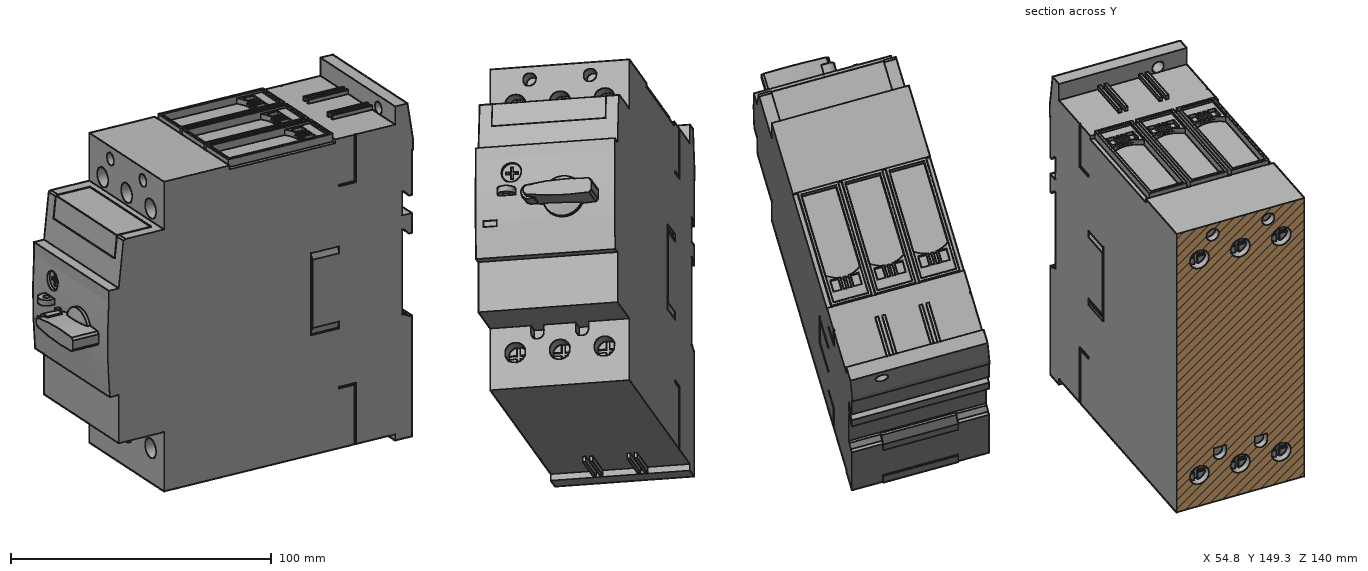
import cadquery as cq


WIDTH = 54.8
HEIGHT = 140.0
TOTAL_DEPTH = 149.3
POLE_PITCH = 17.55
POLES = (-POLE_PITCH, 0, POLE_PITCH)
POLE_GAPS = (-POLE_PITCH / 2, POLE_PITCH / 2)

BACK = 0.5
FLANGE_FRONT = 8.1
BASE_FRONT = 26.0
BODY_BOTTOM = 2.6
BODY_TOP = 132.4
FLANGE_TOP_BACK = 2.5
TOP_PAD_LOW, TOP_PAD_HIGH = 120.0, 124.5
RAIL_FLOOR = 4.9
UNDERCUT_DEPTH = 4.0
RAIL_UNDERCUT = 2.3
RAIL_LIP = 1.3
UPPER_CHANNEL_LOW, UPPER_CHANNEL_HIGH = 93.6, 101.2
LOWER_CHANNEL_LOW, LOWER_CHANNEL_HIGH = 50.7, 85.3
RIB_WIDTH = 1.2
RIB_SPACING = 2.7
RIB_TOP, RIB_BOTTOM = 134.1, 0.5
FLANGE_HOLE_X, FLANGE_HOLE_Z, FLANGE_HOLE_DIAMETER = 15.1, 134.8, 5.0
SLIDE_WIDTH = 30.0
SLIDE_LOW, SLIDE_HIGH, SLIDE_TIP_Z = 43.7, 51.4, 54.7
SLIDE_TIP_DEPTH, SLIDE_TIP_DROP = 2.8, 1.0
FOOT_LOW, FOOT_HIGH = 0.4, 9.2

HOUSING_FRONT = 106.2
FACE = 112.2
NOSE_BOTTOM, NOSE_TOP = 27.5, 112.4
NOSE_TOP_DEPTH = 130.5
NOSE_CHAMFER_DEPTH, NOSE_CHAMFER_HEIGHT = 1.0, 0.5
PANEL_BOTTOM, PANEL_STRIP, PANEL_TOP = 47.7, 87.4, 92.4
PANEL_TOP_FOOT = 132.6
LOWER_NOSE_DEPTH = 132.6
PANEL_DEPTH = 137.1
PANEL_CROWN_DEPTH, PANEL_CROWN_Z = 137.6, 69.5
PANEL_LOW_DEPTH = 136.6

LABEL_WIDTH = 44.8
LABEL_BACK = 114.9
LABEL_BOTTOM = 102.8
LABEL_RECESS = 0.3

JOINT_DEPTH = 0.3
JOINT_WIDTH = 0.6
TAB_FRONT = 33.3
TAB_BOTTOM, TAB_TOP = 27.9, 112.6
TONGUE_FRONT = 45.6
TONGUE_BOTTOM, TONGUE_TOP = 52.8, 87.2
TONGUE_SLOPE = 2.9
TONGUE_SLOPE_DEPTH = 1.0

BASE_STEPS = [
    (BASE_FRONT, BODY_BOTTOM),
    (BASE_FRONT, TAB_BOTTOM),
    (TAB_FRONT, TAB_BOTTOM),
    (TAB_FRONT, TONGUE_BOTTOM),
    (TONGUE_FRONT, TONGUE_BOTTOM),
    (TONGUE_FRONT, TONGUE_TOP),
    (TAB_FRONT, TONGUE_TOP),
    (TAB_FRONT, TAB_TOP),
    (BASE_FRONT, TAB_TOP),
    (BASE_FRONT, BODY_TOP),
]

COVER_BACK, COVER_FRONT, COVER_TOP = 35.1, 82.2, 134.1
CHANNEL_FLOOR, CHANNEL_FRONT = 130.8, 82.7
COVER_WIDTH = 16.1
COVER_WALL = 1.1
COVER_POCKET = 3.3
SHELF_DROP = 1.0
SHELF_SIDE_FRONT = 47.6
SHELF_CREST_FRONT = 45.2
WINDOW_WIDTH, WINDOW_BACK, WINDOW_FRONT, WINDOW_POCKET = 11.3, 40.5, 45.3, 1.5
FIN_OFFSETS = (-2.0, 0, 2.0)
FIN_WIDTH = 0.9

SCREW_DIAMETER, SCREW_RECESS = 8.0, 6.0
SCREW_SLOT_WIDTH, SCREW_SLOT_DEPTH = 1.4, 1.0
UPPER_SCREW_Z, LOWER_SCREW_Z = 117.5, 17.1
ACCESS_DIAMETER, ACCESS_DEPTH = 5.1, 6.0
UPPER_ACCESS_X, UPPER_ACCESS_Z = 11.9, 127.2
LOWER_ACCESS_Z = 24.6

DIAL_X, DIAL_Z, DIAL_DIAMETER = -13.3, 81.5, 7.8
DIAL_RECESS = 0.8
DIAL_SLOT_LENGTH, DIAL_SLOT_WIDTH, DIAL_SLOT_DEPTH = 4.8, 0.9, 0.6
MARK_X, MARK_Z, MARK_WIDTH, MARK_HEIGHT, MARK_RECESS = -21.7, 61.4, 5.2, 2.4, 0.3

EYE_X, EYE_Z, EYE_THICKNESS = -14.9, 73.4, 2.4
EYE_RADIUS, EYE_HOLE_DIAMETER, EYE_CENTRE_DEPTH = 3.4, 2.6, 139.1
KNOB_X, KNOB_Z = 7.3, 70.0
KNOB_RADIUS, KNOB_RIM_DEPTH = 8.0, 138.9
KNOB_DOME_RADIUS, KNOB_DOME_DEPTH = 4.7, 139.7
KNOB_CROWN_DEPTH = 140.1
GRIP_LEFT, GRIP_RIGHT = -6.0, 20.9
GRIP_HALF_LEFT, GRIP_HALF_MIDDLE, GRIP_HALF_RIGHT = 1.8, 3.1, 2.8
GRIP_CORNER = 0.9
LOCK_LEFT, LOCK_RIGHT, LOCK_RADIUS = -7.4, -2.2, 2.8
LOCK_BACK, LOCK_FRONT = 139.8, 146.6
STOP_LEFT, STOP_RIGHT, STOP_BOTTOM, STOP_TOP = -8.5, -6.5, 70.5, 72.3
STOP_FRONT = 139.3
ROOT = 136.0


def block(x_min, x_max, depth_back, depth_front, z_min, z_max):
    size = (x_max - x_min, depth_front - depth_back, z_max - z_min)
    return cq.Workplane("XY").box(*size, centered=False).translate((x_min, -depth_front, z_min))


def centred_block(x, width, depth_back, depth_front, z_min, z_max):
    return block(x - width / 2, x + width / 2, depth_back, depth_front, z_min, z_max)


def side_profile(points, width):
    """Extrude an outline of (depth, height) points symmetrically across X."""
    outline = [(-depth, z) for depth, z in points]
    return cq.Workplane("YZ").polyline(outline).close().extrude(width / 2, both=True)


def front_plane(depth):
    """XZ workplane at a depth; extrusions run toward the front."""
    return cq.Workplane("XZ", origin=(0, -depth, 0))


def disc(x, z, diameter, depth_back, depth_front):
    return front_plane(depth_back).center(x, z).circle(diameter / 2).extrude(depth_front - depth_back)


def cross(x, z, length, width, depth_back, depth_front):
    bar = front_plane(depth_back).center(x, z).rect(length, width).extrude(depth_front - depth_back)
    upright = front_plane(depth_back).center(x, z).rect(width, length).extrude(depth_front - depth_back)
    outline = disc(x, z, length, depth_back, depth_front)
    return bar.union(upright).intersect(outline)


def make_base():
    upper_lip = UPPER_CHANNEL_HIGH + RAIL_UNDERCUT
    lower_lip = LOWER_CHANNEL_HIGH + RAIL_UNDERCUT
    base = side_profile([
        (FLANGE_TOP_BACK, HEIGHT),
        (0, TOP_PAD_HIGH),
        (0, TOP_PAD_LOW),
        (BACK, TOP_PAD_LOW),
        (BACK, UPPER_CHANNEL_HIGH),
        (BACK + RAIL_LIP, UPPER_CHANNEL_HIGH),
        (UNDERCUT_DEPTH, upper_lip),
        (RAIL_FLOOR, upper_lip),
        (RAIL_FLOOR, UPPER_CHANNEL_LOW),
        (BACK, UPPER_CHANNEL_LOW),
        (BACK, LOWER_CHANNEL_HIGH),
        (BACK + RAIL_LIP, LOWER_CHANNEL_HIGH),
        (UNDERCUT_DEPTH, lower_lip),
        (RAIL_FLOOR, lower_lip),
        (RAIL_FLOOR, LOWER_CHANNEL_LOW + RAIL_LIP),
        (UNDERCUT_DEPTH, LOWER_CHANNEL_LOW + RAIL_LIP),
        (BACK + RAIL_LIP, LOWER_CHANNEL_LOW),
        (BACK, LOWER_CHANNEL_LOW),
        (BACK, 0),
        (FLANGE_FRONT, 0),
        (FLANGE_FRONT, BODY_BOTTOM),
        *BASE_STEPS,
        (FLANGE_FRONT, BODY_TOP),
        (FLANGE_FRONT, HEIGHT),
    ], WIDTH)
    hole = disc(FLANGE_HOLE_X, FLANGE_HOLE_Z, FLANGE_HOLE_DIAMETER, 0, FLANGE_FRONT)
    return base.cut(hole)


def make_base_ribs():
    ribs = cq.Workplane("XY")
    for gap in POLE_GAPS:
        for side in (-1, 1):
            x = gap + side * RIB_SPACING / 2
            ribs = ribs.union(centred_block(x, RIB_WIDTH, FLANGE_FRONT, BASE_FRONT, RIB_BOTTOM, BODY_BOTTOM))
            ribs = ribs.union(centred_block(x, RIB_WIDTH, FLANGE_FRONT, BASE_FRONT, BODY_TOP, RIB_TOP))
    return ribs


def make_rail_latch():
    latch = side_profile([
        (0, SLIDE_LOW),
        (0, SLIDE_HIGH),
        (SLIDE_TIP_DEPTH, SLIDE_TIP_Z),
        (UNDERCUT_DEPTH, SLIDE_TIP_Z - SLIDE_TIP_DROP),
        (UNDERCUT_DEPTH, SLIDE_LOW),
    ], SLIDE_WIDTH)
    foot = centred_block(0, SLIDE_WIDTH, 0, BACK, FOOT_LOW, FOOT_HIGH)
    return latch.union(foot)


def make_housing():
    return side_profile([(HOUSING_FRONT, BODY_BOTTOM), *BASE_STEPS, (HOUSING_FRONT, BODY_TOP)], WIDTH)


def make_front():
    profile = (
        cq.Workplane("YZ")
        .moveTo(-HOUSING_FRONT, BODY_BOTTOM)
        .lineTo(-FACE, BODY_BOTTOM)
        .lineTo(-FACE, NOSE_BOTTOM)
        .lineTo(-LOWER_NOSE_DEPTH, NOSE_BOTTOM)
        .lineTo(-LOWER_NOSE_DEPTH, PANEL_BOTTOM)
        .lineTo(-PANEL_LOW_DEPTH, PANEL_BOTTOM)
        .threePointArc((-PANEL_CROWN_DEPTH, PANEL_CROWN_Z), (-PANEL_DEPTH, PANEL_STRIP))
        .lineTo(-PANEL_DEPTH, PANEL_TOP)
        .lineTo(-PANEL_TOP_FOOT, PANEL_TOP)
        .lineTo(-NOSE_TOP_DEPTH, NOSE_TOP - NOSE_CHAMFER_HEIGHT)
        .lineTo(-NOSE_TOP_DEPTH + NOSE_CHAMFER_DEPTH, NOSE_TOP)
        .lineTo(-FACE, NOSE_TOP)
        .lineTo(-FACE, BODY_TOP)
        .lineTo(-HOUSING_FRONT, BODY_TOP)
        .close()
    )
    return profile.extrude(WIDTH / 2, both=True)


def make_label_recess():
    """Thin L-shaped recess over the top and the sloping face of the nose."""
    slope = (PANEL_TOP_FOOT - NOSE_TOP_DEPTH) / (NOSE_TOP - PANEL_TOP)
    floor_top = NOSE_TOP - LABEL_RECESS
    floor_depth = NOSE_TOP_DEPTH - LABEL_RECESS
    bottom_depth = floor_depth + slope * (NOSE_TOP - LABEL_BOTTOM)
    return side_profile([
        (LABEL_BACK, floor_top),
        (floor_depth, floor_top),
        (bottom_depth, LABEL_BOTTOM),
        (PANEL_DEPTH, LABEL_BOTTOM),
        (PANEL_DEPTH, BODY_TOP),
        (LABEL_BACK, BODY_TOP),
    ], LABEL_WIDTH)


def make_left_joints():
    """Open grooves and sloping tongue ends along the base joint on the -X side."""
    outer, inner = -WIDTH / 2, -WIDTH / 2 + JOINT_DEPTH
    half = JOINT_WIDTH / 2
    joints = block(outer, inner, TONGUE_FRONT - half, TONGUE_FRONT + half, TONGUE_BOTTOM, TONGUE_TOP)
    for z_outer, z_tab in ((BODY_TOP, TAB_TOP), (BODY_BOTTOM, TAB_BOTTOM)):
        low, high = sorted((z_outer, z_tab))
        joints = joints.union(block(outer, inner, BASE_FRONT - half, BASE_FRONT + half, low, high))
        joints = joints.union(
            block(outer, inner, BASE_FRONT - half, TAB_FRONT, z_tab - half, z_tab + half)
        )
    for edge, slope in ((TONGUE_TOP, -TONGUE_SLOPE), (TONGUE_BOTTOM, TONGUE_SLOPE)):
        wedge = (
            front_plane(TAB_FRONT)
            .polyline([(outer, edge), (outer + TONGUE_SLOPE_DEPTH, edge), (outer, edge + slope)])
            .close()
            .extrude(TONGUE_FRONT - TAB_FRONT)
        )
        joints = joints.union(wedge)
    return joints


def make_cover(x):
    return centred_block(x, COVER_WIDTH, COVER_BACK, COVER_FRONT, CHANNEL_FLOOR, COVER_TOP)


def make_cover_pocket(x):
    """Deep pocket with an arched rear end, and a shallow shelf with a finned window behind it."""
    half = COVER_WIDTH / 2 - COVER_WALL
    shelf_z = COVER_TOP - SHELF_DROP
    shelf = centred_block(
        x, 2 * half, COVER_BACK + COVER_WALL, COVER_FRONT - COVER_WALL, shelf_z, COVER_TOP
    )
    deep = (
        cq.Workplane("XY", origin=(x, 0, COVER_TOP - COVER_POCKET))
        .moveTo(-half, -SHELF_SIDE_FRONT)
        .threePointArc((0, -SHELF_CREST_FRONT), (half, -SHELF_SIDE_FRONT))
        .lineTo(half, -COVER_FRONT + COVER_WALL)
        .lineTo(-half, -COVER_FRONT + COVER_WALL)
        .close()
        .extrude(COVER_POCKET)
    )
    window = centred_block(x, WINDOW_WIDTH, WINDOW_BACK, WINDOW_FRONT, shelf_z - WINDOW_POCKET, shelf_z)
    for offset in FIN_OFFSETS:
        fin = centred_block(
            x + offset, FIN_WIDTH, WINDOW_BACK, WINDOW_FRONT, shelf_z - WINDOW_POCKET, shelf_z
        )
        window = window.cut(fin)
    return shelf.union(deep).union(window)


def make_screw_hole(x, z):
    bottom = FACE - SCREW_RECESS
    hole = disc(x, z, SCREW_DIAMETER, bottom, FACE)
    slots = cross(x, z, SCREW_DIAMETER, SCREW_SLOT_WIDTH, bottom - SCREW_SLOT_DEPTH, bottom)
    return hole.union(slots)


def make_lower_access(x):
    """U-shaped opening that runs up to the underside of the nose."""
    hole = disc(x, LOWER_ACCESS_Z, ACCESS_DIAMETER, FACE - ACCESS_DEPTH, FACE)
    throat = centred_block(x, ACCESS_DIAMETER, FACE - ACCESS_DEPTH, FACE, LOWER_ACCESS_Z, NOSE_BOTTOM)
    return hole.union(throat)


def make_setting_dial():
    bottom = PANEL_DEPTH - DIAL_RECESS
    well = disc(DIAL_X, DIAL_Z, DIAL_DIAMETER, bottom, TOTAL_DEPTH)
    slots = cross(DIAL_X, DIAL_Z, DIAL_SLOT_LENGTH, DIAL_SLOT_WIDTH, bottom - DIAL_SLOT_DEPTH, bottom)
    return well.union(slots)


def make_mark_recess():
    recess = front_plane(PANEL_DEPTH - MARK_RECESS).center(MARK_X, MARK_Z)
    return recess.rect(MARK_WIDTH, MARK_HEIGHT).extrude(TOTAL_DEPTH - PANEL_DEPTH)


def make_padlock_eye():
    z_min = EYE_Z - EYE_THICKNESS / 2
    plane = cq.Workplane("XY", origin=(EYE_X, -EYE_CENTRE_DEPTH, z_min))
    eye = plane.circle(EYE_RADIUS).extrude(EYE_THICKNESS)
    stem = centred_block(EYE_X, 2 * EYE_RADIUS, ROOT, EYE_CENTRE_DEPTH, z_min, z_min + EYE_THICKNESS)
    hole = plane.circle(EYE_HOLE_DIAMETER / 2).extrude(EYE_THICKNESS)
    return eye.union(stem).cut(hole)


def make_knob():
    """Round knob base with a shallow domed face, turned about its own Y axis."""
    return (
        cq.Workplane("XY")
        .moveTo(0, -ROOT)
        .lineTo(-KNOB_RADIUS, -ROOT)
        .lineTo(-KNOB_RADIUS, -KNOB_RIM_DEPTH)
        .threePointArc((-KNOB_DOME_RADIUS, -KNOB_DOME_DEPTH), (0, -KNOB_CROWN_DEPTH))
        .close()
        .revolve(360, (0, 0), (0, 1))
        .translate((KNOB_X, 0, KNOB_Z))
    )


def make_grip():
    """Handle bar: bowed long sides, a rounded left tip and eased right corners."""
    tip = GRIP_LEFT + GRIP_HALF_LEFT / 2
    return (
        front_plane(ROOT)
        .center(0, KNOB_Z)
        .moveTo(tip, -GRIP_HALF_LEFT)
        .threePointArc((KNOB_X, -GRIP_HALF_MIDDLE), (GRIP_RIGHT, -GRIP_HALF_RIGHT))
        .lineTo(GRIP_RIGHT, GRIP_HALF_RIGHT)
        .threePointArc((KNOB_X, GRIP_HALF_MIDDLE), (tip, GRIP_HALF_LEFT))
        .threePointArc((GRIP_LEFT, 0), (tip, -GRIP_HALF_LEFT))
        .close()
        .extrude(TOTAL_DEPTH - ROOT)
        .edges("|Y and >X")
        .chamfer(GRIP_CORNER)
    )


def make_lock_slide():
    centre = LOCK_LEFT + LOCK_RADIUS
    nose = disc(centre, KNOB_Z, 2 * LOCK_RADIUS, LOCK_BACK, LOCK_FRONT)
    tail = block(
        centre, LOCK_RIGHT, LOCK_BACK, LOCK_FRONT, KNOB_Z - LOCK_RADIUS, KNOB_Z + LOCK_RADIUS
    )
    stop = block(STOP_LEFT, STOP_RIGHT, ROOT, STOP_FRONT, STOP_BOTTOM, STOP_TOP)
    return nose.union(tail).union(stop)


body = make_base().union(make_housing(), clean=False).union(make_front(), clean=False)
body = body.union(make_base_ribs(), clean=False).union(make_rail_latch(), clean=False)

cover_channel = centred_block(0, WIDTH, COVER_BACK, CHANNEL_FRONT, CHANNEL_FLOOR, BODY_TOP)
body = body.cut(cover_channel, clean=False)
for pole_x in POLES:
    body = body.union(make_cover(pole_x), clean=False)
    body = body.cut(make_cover_pocket(pole_x), clean=False)
    body = body.cut(make_screw_hole(pole_x, UPPER_SCREW_Z), clean=False)
    body = body.cut(make_screw_hole(pole_x, LOWER_SCREW_Z), clean=False)

for access_x in (-UPPER_ACCESS_X, UPPER_ACCESS_X):
    access = disc(access_x, UPPER_ACCESS_Z, ACCESS_DIAMETER, FACE - ACCESS_DEPTH, FACE)
    body = body.cut(access, clean=False)
for access_x in POLE_GAPS:
    body = body.cut(make_lower_access(access_x), clean=False)

left_joints = make_left_joints()
right_joints = left_joints.mirror("YZ")
for cutter in (left_joints, right_joints, make_label_recess(), make_setting_dial(), make_mark_recess()):
    body = body.cut(cutter, clean=False)

for addition in (make_padlock_eye(), make_knob(), make_grip(), make_lock_slide()):
    body = body.union(addition, clean=False)

result = body